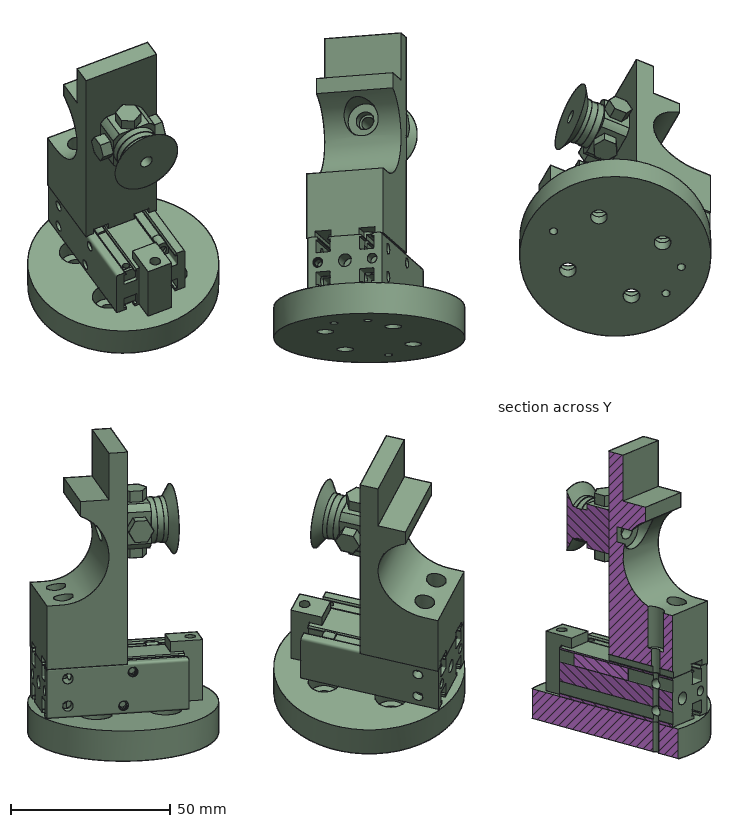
import cadquery as cq
import math


base_diameter = 60.0
base_height = 10.0
base_bolt_pitch = 22.2
base_bolt_hole = 5.2
base_bolt_head = 10.0
base_bolt_head_depth = 6.0
tapped_hole = 2.5
clearance_hole = 3.3

body_back = -27.2
body_length = 45.7
body_width = 24.4
body_height = 16.55
body_front = body_back + body_length
body_mid_z = base_height + body_height / 2
body_top = base_height + body_height
rim_step = 0.25
rim_inner_y = 9.15
seat_z = body_top - rim_step
top_fillet = 0.9
bottom_fillet = 0.5
mount_x = -20.4
mount_y = 5.5
cross_hole_pitch = 9.0
piston_bore = 4.1
piston_bore_depth = 6.0
end_port_y = 8.9
end_port_depth = 4.0
port_thread = 3.1
port_thread_depth = 1.0
port_drill = 2.3
port_drill_tip_height = 0.7
side_port_depth = 2.2
side_ports = [(0.5, 5.3), (-2.5, -5.6)]

groove_y = 7.15
groove_width = 4.6
groove_floor = 3.15
groove_lip = 7.3
groove_fillet = 0.35
neck_width = 3.0
neck_chamfer = 0.5

sensor_length = 22.0
sensor_tip_chamfer = 0.6
sensor_tip_drop = 0.35
sensor_neck_top = 7.7
dome_length = 4.0
dome_shoulder = 7.9
dome_peak = 8.4
sensor_screw_hole = 2.1
sensor_screw_inset = 1.85
sensor_screw_depth = 2.0
cable_hole = 3.1
cable_hole_depth = 1.0
cable_hole_z = 5.3
minus_y_sensor_tip = 17.3
plus_y_sensor_tip = -9.3

stop_width = 8.3
stop_thickness = 6.1
stop_bottom = 10.2
stop_top = 30.1
stop_lip_bottom = 26.7
stop_lip_length = 4.25
stop_hole_inset = 3.1

bracket_width = 25.0
bracket_height = 70.0
bracket_length = 25.9
bracket_wall = 6.0
bracket_face = body_back + bracket_length
bracket_top = seat_z + bracket_height
saddle_radius = 15.0
saddle_z = seat_z + 36.0
saddle_x = bracket_face - bracket_wall - saddle_radius
shelf_length = 9.1
shelf_top = seat_z + 54.7
window_width = 5.2
window_height = 2.1
window_y = 7.2
bracket_bolt_head = 6.1
bracket_bolt_floor = seat_z + 8.0

cup_z = 69.3
cup_bore = 4.1
cup_screw_hole = 5.7
cup_screw_head = 11.0
cup_screw_floor = 3.5
manifold_diameter = 18.2
manifold_flats = 14.8
manifold_length = 8.7
plug_flats = 7.0
plug_reach = 11.0
plug_center = 4.75
collar_radius = 7.3
collar_groove_radius = 7.1
collar_rear_length = 2.1
collar_groove_length = 2.1
collar_front_length = 1.4
lip_radius = 11.1
lip_length = 2.6


def box(x0, x1, y0, y1, z0, z1):
    return cq.Workplane("XY").box(x1 - x0, y1 - y0, z1 - z0, centered=False).translate((x0, y0, z0))


def rod(start, direction, length, diameter):
    return cq.Workplane(
        cq.Solid.makeCylinder(diameter / 2, length, cq.Vector(*start), cq.Vector(*direction))
    )


def groove_cavity(x0, x1):
    """Wide inner part of the sensor groove, in the upper +Y position about mid height zero."""
    cavity = box(x0, x1, groove_y - groove_width / 2, groove_y + groove_width / 2, groove_floor, groove_lip)
    return cavity.edges("|X and <Z").fillet(groove_fillet)


def groove_neck(x0, x1, top):
    return box(x0, x1, groove_y - neck_width / 2, groove_y + neck_width / 2, groove_lip, top)


def place(shape, side, level):
    """Move an upper +Y shape to its place: side +1 or -1 in Y, level +1 for top or -1 for bottom."""
    if side < 0:
        shape = shape.mirror("XZ")
    if level < 0:
        shape = shape.mirror("XY")
    return shape.translate((0, 0, body_mid_z))


def make_groove(side, level):
    half_height = body_height / 2
    groove = groove_cavity(body_back, body_front).union(groove_neck(body_back, body_front, half_height))
    if level > 0:
        inner = groove_y - neck_width / 2
        outer = groove_y + neck_width / 2
        flare = (
            cq.Workplane("YZ", origin=(body_back, 0, 0))
            .polyline([
                (inner, half_height - rim_step - neck_chamfer),
                (outer, half_height - rim_step - neck_chamfer),
                (rim_inner_y, half_height),
                (inner - neck_chamfer, half_height),
                (inner - neck_chamfer, half_height - rim_step),
            ])
            .close()
            .extrude(body_length)
        )
        groove = groove.union(flare)
    return place(groove, side, level)


def make_port(start, direction, depth):
    thread = rod(start, direction, port_thread_depth, port_thread)
    return thread.union(rod(start, direction, depth, port_drill))


def make_body():
    body = box(body_back, body_front, -body_width / 2, body_width / 2, base_height, body_top)
    body = body.edges("|X and >Z").fillet(top_fillet)
    body = body.edges("|X and <Z").fillet(bottom_fillet)

    seat_half = groove_y + neck_width / 2
    body = body.cut(box(body_back, body_front, -seat_half, seat_half, seat_z, body_top))
    for side in (1, -1):
        for level in (1, -1):
            body = body.cut(make_groove(side, level))

    rear = (1, 0, 0)
    body = body.cut(rod((body_back, 0, body_mid_z), rear, piston_bore_depth, piston_bore))
    body = body.cut(rod((body_back, -end_port_y, body_mid_z), rear, end_port_depth, port_thread))
    port_start = (body_back, end_port_y, body_mid_z)
    body = body.cut(make_port(port_start, rear, end_port_depth))
    drill_tip = cq.Solid.makeCone(
        port_drill / 2, 0, port_drill_tip_height,
        cq.Vector(body_back + end_port_depth, end_port_y, body_mid_z), cq.Vector(*rear),
    )
    body = body.cut(cq.Workplane(drill_tip))

    for sign in (1, -1):
        cross_start = (mount_x, -body_width / 2, body_mid_z + sign * cross_hole_pitch / 2)
        body = body.cut(rod(cross_start, (0, 1, 0), body_width, clearance_hole))
        down_start = (mount_x, sign * mount_y, base_height)
        body = body.cut(rod(down_start, (0, 0, 1), body_height, tapped_hole))

    for port_x, port_z in side_ports:
        start = (port_x, -body_width / 2, body_mid_z + port_z)
        body = body.cut(make_port(start, (0, 1, 0), side_port_depth))
    return body


def make_sensor(tip_x, heading, side, level):
    """Groove sensor whose screw end lies at tip_x and points along +X or -X."""
    neck = groove_neck(-sensor_length, 0, sensor_neck_top)
    neck = neck.faces(">X").edges(">Z").chamfer(sensor_tip_drop, sensor_tip_chamfer)
    sensor = groove_cavity(-sensor_length, 0).union(neck)
    dome = (
        cq.Workplane("YZ", origin=(-sensor_length, 0, 0))
        .moveTo(groove_y - neck_width / 2, groove_lip)
        .lineTo(groove_y - neck_width / 2, dome_shoulder)
        .threePointArc((groove_y, dome_peak), (groove_y + neck_width / 2, dome_shoulder))
        .lineTo(groove_y + neck_width / 2, groove_lip)
        .close()
        .extrude(dome_length)
    )
    sensor = sensor.union(dome)
    screw_start = (-sensor_screw_inset, groove_y, sensor_neck_top)
    sensor = sensor.cut(rod(screw_start, (0, 0, -1), sensor_screw_depth, sensor_screw_hole))
    cable_start = (-sensor_length, groove_y, cable_hole_z)
    sensor = sensor.cut(rod(cable_start, (1, 0, 0), cable_hole_depth, cable_hole))
    if heading < 0:
        sensor = sensor.mirror("YZ")
    return place(sensor.translate((tip_x, 0, 0)), side, level)


def make_base(lower_sensor):
    base = cq.Workplane("XY").circle(base_diameter / 2).extrude(base_height)
    base = (
        base.faces(">Z").workplane(origin=(0, 0, base_height))
        .rect(base_bolt_pitch, base_bolt_pitch, forConstruction=True)
        .vertices()
        .cboreHole(base_bolt_hole, base_bolt_head, base_bolt_head_depth)
    )
    stop_hole_x = body_front + stop_thickness - stop_hole_inset
    for x, y in [(mount_x, mount_y), (mount_x, -mount_y), (stop_hole_x, 0)]:
        base = base.cut(rod((x, y, 0), (0, 0, 1), base_height, tapped_hole))
    return base.cut(lower_sensor)


def make_stop():
    front = body_front + stop_thickness
    half = stop_width / 2
    stop = box(body_front, front, -half, half, stop_bottom, stop_top)
    stop = stop.union(box(body_front - stop_lip_length, body_front, -half, half, stop_lip_bottom, stop_top))
    hole_start = (front - stop_hole_inset, 0, stop_bottom)
    return stop.cut(rod(hole_start, (0, 0, 1), stop_top - stop_bottom, clearance_hole))


def make_bracket(body):
    column_back = bracket_face - bracket_wall
    shelf_back = column_back - shelf_length
    shelf_rise = math.sqrt(saddle_radius**2 - (shelf_back - saddle_x) ** 2)
    bracket = (
        cq.Workplane("XZ", origin=(0, bracket_width / 2, 0))
        .moveTo(body_back, seat_z)
        .lineTo(bracket_face, seat_z)
        .lineTo(bracket_face, bracket_top)
        .lineTo(column_back, bracket_top)
        .lineTo(column_back, shelf_top)
        .lineTo(shelf_back, shelf_top)
        .lineTo(shelf_back, saddle_z + shelf_rise)
        .threePointArc((column_back, saddle_z), (saddle_x, saddle_z - saddle_radius))
        .lineTo(body_back, saddle_z - saddle_radius)
        .close()
        .extrude(bracket_width)
    )
    for side in (1, -1):
        center = side * window_y
        bracket = bracket.cut(box(
            body_back, bracket_face, center - window_width / 2, center + window_width / 2,
            seat_z, seat_z + window_height,
        ))
        screw = (mount_x, side * mount_y)
        bracket = bracket.cut(rod((*screw, seat_z), (0, 0, 1), saddle_radius, clearance_hole))
        head_height = saddle_z - bracket_bolt_floor
        bracket = bracket.cut(rod((*screw, bracket_bolt_floor), (0, 0, 1), head_height, bracket_bolt_head))

    bracket = bracket.cut(rod((bracket_face, 0, cup_z), (-1, 0, 0), bracket_wall * 2, cup_screw_hole))
    head_start = (bracket_face - cup_screw_floor, 0, cup_z)
    bracket = bracket.cut(rod(head_start, (-1, 0, 0), saddle_radius, cup_screw_head))
    return bracket.cut(body)


def make_suction_cup():
    manifold = cq.Workplane("YZ").circle(manifold_diameter / 2).extrude(manifold_length)
    flats = cq.Workplane("YZ").rect(manifold_flats, manifold_flats).extrude(manifold_length)
    cup = manifold.intersect(flats)

    plug_corners = plug_flats / math.cos(math.pi / 6)
    for plane in ("XY", "XZ"):
        hexagon = cq.Workplane(plane).center(plug_center, 0).polygon(6, plug_corners)
        cup = cup.union(hexagon.extrude(plug_reach, both=True))

    groove_start = manifold_length + collar_rear_length
    groove_end = groove_start + collar_groove_length
    collar_end = groove_end + collar_front_length
    turned = (
        cq.Workplane("XY")
        .polyline([
            (manifold_length, 0),
            (manifold_length, collar_radius),
            (groove_start, collar_radius),
            (groove_start, collar_groove_radius),
            (groove_end, collar_groove_radius),
            (groove_end, collar_radius),
            (collar_end, collar_radius),
            (collar_end + lip_length, lip_radius),
            (collar_end + lip_length, 0),
        ])
        .close()
        .revolve(360, (0, 0, 0), (1, 0, 0))
    )
    cup = cup.union(turned)
    cup = cup.cut(rod((0, 0, 0), (1, 0, 0), collar_end + lip_length, cup_bore))
    return cup.translate((bracket_face, 0, cup_z))


body = make_body()
lower_sensor = make_sensor(minus_y_sensor_tip, 1, -1, -1)
sensors = [
    make_sensor(minus_y_sensor_tip, 1, -1, 1),
    make_sensor(plus_y_sensor_tip, -1, 1, 1),
    lower_sensor,
]
base = make_base(lower_sensor)
stop = make_stop()
bracket = make_bracket(body)
suction_cup = make_suction_cup()

result = cq.Compound.makeCompound([
    base.val(),
    body.val(),
    *[sensor.val() for sensor in sensors],
    stop.val(),
    bracket.val(),
    suction_cup.val(),
])